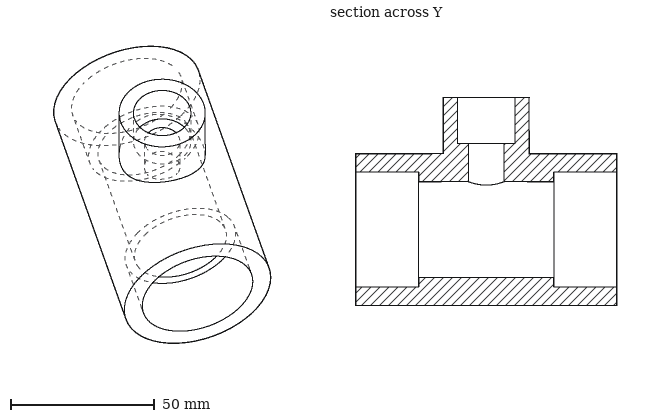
import cadquery as cq

run_length = 91.0
run_diameter = 53.0
run_socket_diameter = 40.0
run_socket_depth = 22.0
run_bore_diameter = 33.33

overall_height = 72.5
branch_diameter = 30.0
branch_socket_diameter = 20.0
branch_socket_depth = 16.0
branch_bore_diameter = 12.33

branch_height = overall_height - run_diameter / 2


def run_cylinder(diameter, start_x, length):
    """Cylinder on the run axis, from start_x towards +X."""
    return cq.Workplane("YZ").workplane(offset=start_x).circle(diameter / 2).extrude(length)


def branch_cylinder(diameter, start_z, length):
    """Cylinder on the branch axis, from start_z upwards."""
    return cq.Workplane("XY").workplane(offset=start_z).circle(diameter / 2).extrude(length)


def tee_body():
    """Solid outer shape: the run joined with the branch."""
    run = run_cylinder(run_diameter, -run_length / 2, run_length)
    return run.union(branch_cylinder(branch_diameter, 0, branch_height))


def run_cavity():
    """Through bore of the run with a wider socket at each end."""
    left_socket = run_cylinder(run_socket_diameter, -run_length / 2, run_socket_depth)
    right_socket = run_cylinder(
        run_socket_diameter, run_length / 2 - run_socket_depth, run_socket_depth
    )
    bore = run_cylinder(run_bore_diameter, -run_length / 2, run_length)
    return bore.union(left_socket).union(right_socket)


def branch_cavity():
    """Branch socket and the narrower bore that opens into the run."""
    socket = branch_cylinder(
        branch_socket_diameter, branch_height - branch_socket_depth, branch_socket_depth
    )
    bore = branch_cylinder(branch_bore_diameter, 0, branch_height)
    return bore.union(socket)


result = tee_body().cut(run_cavity()).cut(branch_cavity())